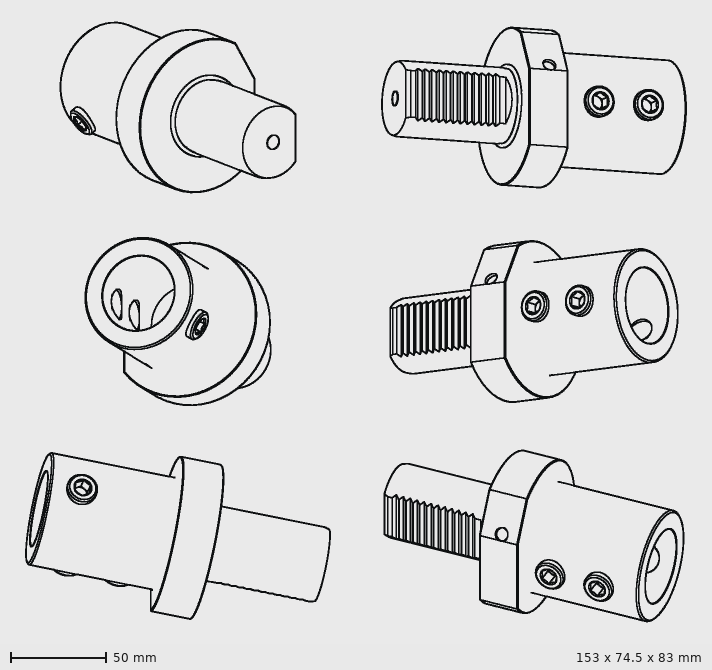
import cadquery as cq
import math

overall_length = 153.0
flange_start = 68.0
flange_end = 90.0
shank_end = 152.5

sleeve_radius = 30.0
sleeve_chamfer = 0.9
sleeve_root_fillet = 0.9
bore_radius = 20.0
bore_depth = 76.5
bore_chamfer = 0.3

flange_radius = 41.5
flange_edge_chamfer = 0.5
flat_distance = 32.5
oblique_flat_distance = 35.5
oblique_flat_angle = 30.0
cutter_size = 2 * flange_radius

coolant_hole_x = 77.9
coolant_hole_radius = 3.5
coolant_hole_depth = 1.8

shank_radius = 20.0
neck_radius = 19.7
neck_end = 92.4
lead_in_end = 93.6
shank_taper_length = 2.5
shank_taper_angle = 15.0
stub_radius = 3.8

rack_height = 15.8
ramp_start = 94.7
ramp_end = 96.7
first_valley = 101.7
last_valley = 145.7
valley_count = 12
valley_depth = 1.4
valley_half_width = 1.8
end_bevel_drop = 1.2
cutter_clearance = 1.5

screw_radius = 8.0
screw_head_distance = 33.0
screw_length = screw_head_distance - bore_radius
screw_chamfer = 0.9
socket_sides = 6
socket_across_flats = 8.0
socket_depth = 8.0
socket_mouth_radius = 4.7
top_screw_positions = (22.0, 49.9)
side_screw_position = 17.0
side_screw_angle = 210.0

drill_point_angle = 118.0

ring_center_x = 90.7
ring_center_radius = 20.8
ring_section_radius = 1.2


def radial_plane(x, distance, angle):
    """Plane facing away from the X axis, at an angle from +Y towards +Z."""
    direction = (0, math.cos(math.radians(angle)), math.sin(math.radians(angle)))
    origin = (x, distance * direction[1], distance * direction[2])
    return cq.Plane(origin=origin, xDir=(1, 0, 0), normal=direction)


def circle_centred_at(point):
    """Selector for the full circular edge whose centre is the given point."""
    return cq.selectors.NearestToPointSelector(point.toTuple())


def x_cylinder(radius, start, end):
    return cq.Workplane("YZ", origin=(start, 0, 0)).circle(radius).extrude(end - start)


def drill_cone(plane, radius, depth):
    """Conical drill point that starts at the given depth below the plane."""
    point_length = radius / math.tan(math.radians(drill_point_angle / 2))
    cone = cq.Solid.makeCone(
        radius, 0, point_length, pnt=plane.toWorldCoords((0, 0, -depth)), dir=-plane.zDir
    )
    return cq.Workplane(obj=cone)


def make_sleeve():
    sleeve = x_cylinder(sleeve_radius, 0, flange_start)
    return sleeve.faces("<X").chamfer(sleeve_chamfer)


def make_flange():
    """Disc with one flat facing +Y and a second, oblique flat above it."""
    flange = x_cylinder(flange_radius, flange_start, flange_end)
    for distance, angle in ((flat_distance, 0), (oblique_flat_distance, oblique_flat_angle)):
        plane = radial_plane((flange_start + flange_end) / 2, distance, angle)
        flange = flange.cut(cq.Workplane(plane).rect(cutter_size, cutter_size).extrude(cutter_size))
    return flange.faces("<X or >X").chamfer(flange_edge_chamfer)


def make_shank():
    """Relieved neck with a conical lead-in, cylindrical shank with a tapered end, and a small end stub."""
    taper_radius = shank_radius - shank_taper_length * math.tan(math.radians(shank_taper_angle))
    outline = [
        (flange_end, 0),
        (flange_end, neck_radius),
        (neck_end, neck_radius),
        (lead_in_end, shank_radius),
        (shank_end - shank_taper_length, shank_radius),
        (shank_end, taper_radius),
        (shank_end, stub_radius),
        (overall_length, stub_radius),
        (overall_length, 0),
    ]
    shank = cq.Workplane("XY").polyline(outline).close().revolve(360, (0, 0), (1, 0))
    return shank.cut(make_rack_cutter())


def make_rack_cutter():
    """Everything to remove above the toothed flat, across the full shank width."""
    clear_height = shank_radius + cutter_clearance
    ramp_slope = (shank_radius - rack_height) / (ramp_end - ramp_start)
    clear_start = ramp_end - (clear_height - rack_height) / ramp_slope
    outline = [(clear_start, clear_height), (ramp_end, rack_height)]
    pitch = (last_valley - first_valley) / (valley_count - 1)
    for index in range(valley_count):
        valley = first_valley + index * pitch
        outline.append((valley - valley_half_width, rack_height))
        outline.append((valley, rack_height - valley_depth))
        outline.append((valley + valley_half_width, rack_height))
    outline += [
        (shank_end - shank_taper_length, rack_height),
        (shank_end, rack_height - end_bevel_drop),
        (shank_end, clear_height),
    ]
    return cq.Workplane("XY").polyline(outline).close().extrude(shank_radius, both=True)


def make_coolant_hole():
    plane = radial_plane(coolant_hole_x, oblique_flat_distance, oblique_flat_angle)
    hole = cq.Workplane(plane).circle(coolant_hole_radius).extrude(-coolant_hole_depth)
    return hole.union(drill_cone(plane, coolant_hole_radius, coolant_hole_depth))


def make_bore():
    bore = x_cylinder(bore_radius, 0, bore_depth)
    mouth = cq.Workplane(
        obj=cq.Solid.makeCone(
            bore_radius + bore_chamfer, bore_radius, bore_chamfer, dir=cq.Vector(1, 0, 0)
        )
    )
    return bore.union(mouth)


def make_screw(x, angle):
    """Plain body of a set screw, its inner end reaching the bore radius."""
    plane = radial_plane(x, screw_head_distance, angle)
    screw = cq.Workplane(plane).circle(screw_radius).extrude(-screw_length)
    return screw.edges(circle_centred_at(plane.origin)).chamfer(screw_chamfer)


def make_screw_hole(x, angle):
    """Radial hole from the screw head through the sleeve wall into the bore."""
    plane = radial_plane(x, screw_head_distance, angle)
    return cq.Workplane(plane).circle(screw_radius).extrude(-screw_head_distance)


def make_screw_socket(x, angle):
    """Hexagon socket with two flats square to the X axis, a drilled floor and a countersunk mouth."""
    plane = radial_plane(x, screw_head_distance, angle)
    across_corners = socket_across_flats / math.cos(math.pi / socket_sides)
    socket = (
        cq.Workplane(plane)
        .transformed(rotate=(0, 0, 90))
        .polygon(socket_sides, across_corners)
        .extrude(-socket_depth)
    )
    mouth = cq.Workplane(
        obj=cq.Solid.makeCone(
            socket_mouth_radius, 0, socket_mouth_radius, pnt=plane.origin, dir=-plane.zDir
        )
    )
    return socket.union(drill_cone(plane, socket_across_flats / 2, socket_depth)).union(mouth)


def make_sealing_ring():
    """O-ring lightly seated in the corner between the flange and the neck."""
    ring = cq.Solid.makeTorus(
        ring_center_radius, ring_section_radius, cq.Vector(ring_center_x, 0, 0), cq.Vector(1, 0, 0)
    )
    return cq.Workplane(obj=ring)


def make_holder(ring):
    """Tool holder with its set screws fixed in the sleeve wall."""
    holder = make_sleeve().union(make_flange())
    root_edge = circle_centred_at(cq.Vector(flange_start, 0, 0))
    holder = holder.edges(root_edge).fillet(sleeve_root_fillet)
    holder = holder.union(make_shank()).cut(make_bore()).cut(make_coolant_hole())
    screw_places = [(x, 0.0) for x in top_screw_positions]
    screw_places.append((side_screw_position, side_screw_angle))
    for x, angle in screw_places:
        holder = holder.cut(make_screw_hole(x, angle))
        holder = holder.union(make_screw(x, angle)).cut(make_screw_socket(x, angle))
    return holder.cut(ring)


sealing_ring = make_sealing_ring()
holder = make_holder(sealing_ring)

result = cq.Compound.makeCompound([holder.val(), sealing_ring.val()])